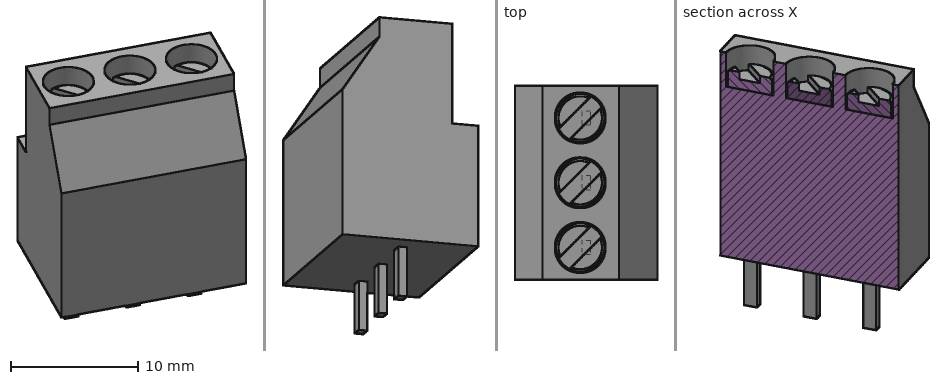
import cadquery as cq

pole_count = 3
pitch = 5.08
overall_height = 22.0

width = 11.2
length = pole_count * pitch
pin_length = 4.0
height = overall_height - pin_length
shoulder_width = 2.15
shoulder_height = 9.85
top_right = 8.16
slope_top = height - 1.58
slope_bottom = height - 6.14

pin_thickness = 0.7
pin_width = 1.12

screw_x = 5.13
hole_diameter = 4.0
screw_diameter = 3.8
head_recess = 1.5
head_height = 1.5
head_chamfer = 0.2
slot_width = 1.2
slot_depth = 0.64
slot_angle = 45
hole_depth = head_recess + head_height

pole_positions = [(i - (pole_count - 1) / 2) * pitch for i in range(pole_count)]


def make_housing():
    """Stepped block with a blind screw hole and a solder pin for each pole."""
    profile = [
        (0, 0),
        (width, 0),
        (width, slope_bottom),
        (top_right, slope_top),
        (top_right, height),
        (shoulder_width, height),
        (shoulder_width, shoulder_height),
        (0, shoulder_height),
    ]
    block = cq.Workplane("XZ").polyline(profile).close().extrude(length / 2, both=True)
    holes = (
        cq.Workplane("XY", origin=(screw_x, 0, height))
        .pushPoints([(0, y) for y in pole_positions])
        .circle(hole_diameter / 2)
        .extrude(-hole_depth)
    )
    pins = (
        cq.Workplane("XY", origin=(width / 2, 0, 0))
        .pushPoints([(0, y) for y in pole_positions])
        .rect(pin_thickness, pin_width)
        .extrude(-pin_length)
    )
    return block.cut(holes).union(pins)


def make_screw(y):
    """Slotted, chamfered screw head standing on the floor of its hole."""
    head = (
        cq.Workplane("XY")
        .circle(screw_diameter / 2)
        .extrude(head_height)
        .faces(">Z")
        .chamfer(head_chamfer)
    )
    slot = (
        cq.Workplane("XY", origin=(0, 0, head_height))
        .rect(2 * screw_diameter, slot_width)
        .extrude(-slot_depth)
        .rotate((0, 0, 0), (0, 0, 1), slot_angle)
    )
    return head.cut(slot).translate((screw_x, y, height - hole_depth))


housing = make_housing()
screws = [make_screw(y) for y in pole_positions]

result = cq.Compound.makeCompound([housing.val(), *[screw.val() for screw in screws]])